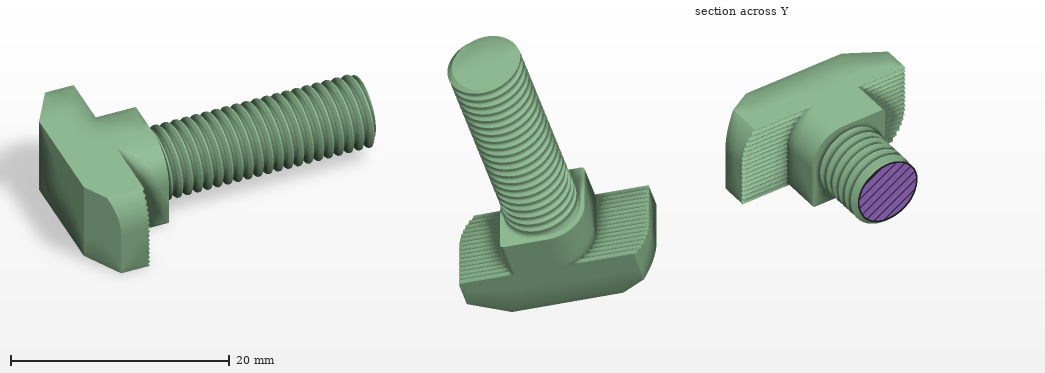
import cadquery as cq
import math


total_length = 30.0
head_width = 18.0
body_height = 8.0

shank_length = 21.0
neck_length = 4.0
head_thickness = total_length - shank_length - neck_length
neck_end = head_thickness + neck_length

bevel_width = 3.72
bevel_angle = 30.0
bevel_height = bevel_width * math.tan(math.radians(bevel_angle))
turn_radius = 5.0
round_start = 0.5

tooth_count = 16
tooth_pitch = body_height / tooth_count
tooth_depth = tooth_pitch / 2

turn_corner_radius = body_height / 2 - round_start
stop_corner_radius = 0.33

major_radius = 3.5
thread_turns = 21
thread_pitch = shank_length / thread_turns
flank_angle = 30.0
crest_width = thread_pitch / 8
root_width = thread_pitch / 4
thread_depth = (thread_pitch - crest_width - root_width) / 2 / math.tan(math.radians(flank_angle))
minor_radius = major_radius - thread_depth
spare_turns_below = 1
spare_turns_above = 2
crest_end_gap = 0.45


def along_y(sketch, start, length):
    """Extrude an X-Z sketch function in +Y from y = start."""
    plane = cq.Plane(origin=(0, start, 0), xDir=(1, 0, 0), normal=(0, -1, 0))
    return sketch(cq.Workplane(plane)).extrude(-length)


def head_end_outline(workplane):
    """X-Z outline with two diagonally opposite rounded ends."""
    half_width = head_width / 2
    half_height = body_height / 2
    rise = half_height - round_start
    inset = turn_radius - math.sqrt(turn_radius**2 - rise**2)
    return (
        workplane.moveTo(-half_width + inset, -half_height)
        .lineTo(half_width, -half_height)
        .lineTo(half_width, round_start)
        .radiusArc((half_width - inset, half_height), -turn_radius)
        .lineTo(-half_width, half_height)
        .lineTo(-half_width, -round_start)
        .radiusArc((-half_width + inset, -half_height), -turn_radius)
        .close()
    )


def bevelled_plan():
    """Head plan in X-Y with both outer corners bevelled."""
    half_width = head_width / 2
    face_half_width = half_width - bevel_width
    return (
        cq.Workplane("XY")
        .polyline([
            (-half_width, head_thickness),
            (-half_width, bevel_height),
            (-face_half_width, 0),
            (face_half_width, 0),
            (half_width, bevel_height),
            (half_width, head_thickness),
        ])
        .close()
        .extrude(body_height / 2, both=True)
    )


def serration_grooves():
    """V grooves along X, side by side over the bearing face."""
    edge_points = [(head_thickness, -body_height / 2)]
    for tooth in range(tooth_count):
        groove_start = -body_height / 2 + tooth * tooth_pitch
        edge_points.append((head_thickness - tooth_depth, groove_start + tooth_pitch / 2))
        edge_points.append((head_thickness, groove_start + tooth_pitch))
    edge_points.append((head_thickness + tooth_depth, body_height / 2))
    edge_points.append((head_thickness + tooth_depth, -body_height / 2))
    return cq.Workplane("YZ").polyline(edge_points).close().extrude(head_width / 2, both=True)


def make_head():
    blank = along_y(head_end_outline, 0, head_thickness)
    return blank.intersect(bevelled_plan()).cut(serration_grooves())


def rounded_square(workplane):
    """Neck section: large rounds at two opposite corners, small rounds at the others."""
    half = body_height / 2
    large = turn_corner_radius
    small = stop_corner_radius
    return (
        workplane.moveTo(-half + large, -half)
        .lineTo(half - small, -half)
        .radiusArc((half, -half + small), -small)
        .lineTo(half, half - large)
        .radiusArc((half - large, half), -large)
        .lineTo(-half + small, half)
        .radiusArc((-half, half - small), -small)
        .lineTo(-half, -half + large)
        .radiusArc((-half + large, -half), -large)
        .close()
    )


def make_neck():
    """Neck rooted in the head, below the groove bottoms."""
    root_depth = tooth_pitch
    return along_y(rounded_square, head_thickness - root_depth, neck_length + root_depth)


def helix_turn(radius, height):
    """One turn of helix around Z, starting on +X at the given height."""
    turn = cq.Wire.makeHelix(thread_pitch, thread_pitch, radius, cq.Vector(0, 0, height))
    return turn.Edges()[0]


def thread_end_face(axis_height, profile):
    """Flat face in the X-Z plane between the axis and one pitch of the profile."""
    corners = [(0, axis_height)] + profile + [(0, axis_height + thread_pitch)]
    outline = [cq.Vector(radius, 0, height) for radius, height in corners]
    return cq.Face.makeFromWires(cq.Wire.makePolygon(outline, close=True))


def helical_end_face(height):
    """Helicoid from the axis out to the thread root, closing one end of the thread."""
    axis_edge = cq.Edge.makeLine(cq.Vector(0, 0, height), cq.Vector(0, 0, height + thread_pitch))
    return cq.Face.makeRuledSurface(axis_edge, helix_turn(minor_radius, height))


def make_thread():
    """Solid thread built turn by turn from helical strips, trimmed to the shank."""
    crest_half = crest_width / 2
    root_half = crest_half + thread_depth * math.tan(math.radians(flank_angle))
    profile = [
        (minor_radius, -root_half),
        (major_radius, -crest_half),
        (major_radius, crest_half),
        (minor_radius, root_half),
        (minor_radius, thread_pitch - root_half),
    ]
    built_turns = spare_turns_below + thread_turns + spare_turns_above
    built_length = built_turns * thread_pitch
    first_crest = total_length - crest_end_gap - (thread_turns + spare_turns_below) * thread_pitch

    faces = []
    for turn in range(built_turns):
        lift = turn * thread_pitch
        edges = [helix_turn(radius, height + lift) for radius, height in profile]
        for lower_edge, upper_edge in zip(edges, edges[1:]):
            faces.append(cq.Face.makeRuledSurface(lower_edge, upper_edge))
    last_profile = [(radius, height + built_length) for radius, height in profile]
    faces.append(helical_end_face(-root_half))
    faces.append(helical_end_face(built_length - root_half))
    faces.append(thread_end_face(-root_half, profile))
    faces.append(thread_end_face(built_length - root_half, last_profile))

    thread = cq.Workplane(obj=cq.Solid.makeSolid(cq.Shell.makeShell(faces)))
    thread = thread.rotate((0, 0, 0), (1, 0, 0), -90).translate((0, first_crest, 0))
    envelope = along_y(lambda workplane: workplane.circle(body_height), neck_end, shank_length)
    return thread.intersect(envelope)


result = make_head().union(make_neck()).union(make_thread())